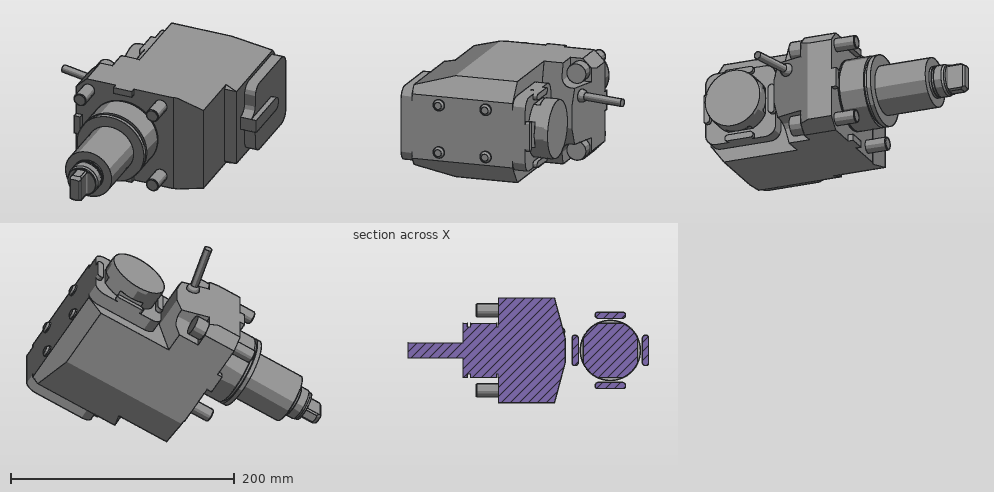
import cadquery as cq
import math

HALF_HEIGHT = 46.95
REAR_Y = 133.5

LEFT_X = -47.3
STEP_X = -7.5
BLOCK_RIGHT_X = 76.5
HEAD_RIGHT_X = 88.0
CAP_END_Y = 59.3
CAP_EDGE_Y = 49.5
CAP_FLAT_HALF = 10.5
LEAN_START_Y = 22.0
LEAN_ANGLE = 15.0
FRONT_CORNER_CUT = 10.2
REAR_CUT_Y = 12.7
REAR_CUT_Z = 17.06
TAPER_START_X = 50.8
TAPER_END_Z = 37.0
OVERHANG_Y = 47.3
OVERHANG_BEVEL = 3.2
PAD_THICKNESS = 0.7

BOLT_X = 35.25
BOLT_Z = 35.75
BOLT_DIAMETER = 12.0
BOLT_END_Y = -20.5
BOLT_CHAMFER = 0.7
BOLT_HEAD_DIAMETER = 18.0
BOLT_SEAT_Y = 30.0
BOLT_HEAD_END_Y = 41.5
POCKET_RADIUS = 9.7

KEY_LENGTH = 18.0
KEY_WIDTH = 6.0
KEY_END_Y = -5.5

BOSS_RADIUS = 32.5
GROOVE_RADIUS = 30.1
SHANK_RADIUS = 22.55
COLLAR_RADIUS = 14.5
NECK_RADIUS = 13.5
COLLAR_END_RADIUS = 13.5
RELIEF_START_Y = -1.0
RELIEF_END_Y = -2.2
BOSS_END_Y = -25.7
GROOVE_END_Y = -28.5
FLANGE_END_Y = -32.5
SHANK_END_Y = -81.5
RING_END_Y = -83.5
NECK_END_Y = -85.7
COLLAR_SIDE_END_Y = -93.2
COLLAR_BEVEL_END_Y = -95.2
COLLAR_END_Y = -97.0
TIP_Y = -112.3
TANG_THICKNESS = 10.5
TANG_FACE_HALF_HEIGHT = 11.0
TANG_EDGE_BEVEL = 1.5
TANG_ROOT_FILLET = 1.5
TANG_TIP_RADIUS = 10.5
TANG_TIP_TAPER = 5.2
TANG_SIDE_CHAMFER = 1.2
TANG_END_CHAMFER = 2.0

PLATE_SIDE = 68.3
PLATE_CORNER_RADIUS = 10.2
PLATE_Y = REAR_Y - PLATE_SIDE / 2
LEFT_PLATE_X = -19.5
NOSE_RADIUS = 27.03
NOSE_END_X = -37.9
NOSE_TAPER_X = -34.5
NOSE_END_RADIUS = 26.53
NOSE_NECK_X = -25.5
NOSE_NECK_WIDTH = 48.5
NOSE_KEY_X = -23.5
NOSE_KEY_LENGTH = 27.5
NOSE_KEY_WIDTH = 5.7
NOSE_KEY_INNER_RADIUS = 3.2
NOSE_KEY_OUTER_RADIUS = 2.2
PIN_HOLE_DIAMETER = 2.1
PIN_HOLE_DEPTH = 5.0
PIN_HOLE_X = -14.0
RIGHT_PLATE_X = 98.5
TONGUE_HALF_WIDTH = 6.2
TONGUE_END_Y = 56.0
TONGUE_FILLET = REAR_Y - PLATE_SIDE - TONGUE_END_Y
LEVER_X = 103.5

SCREW_XS = (18.0, 62.3)
SCREW_Z = 22.0
SCREW_DIAMETER = 10.5
SCREW_TOP_DIAMETER = 6.5
SCREW_HEIGHT = 3.2
SCREW_RIM = 1.2

CABLE_DIAMETER = 7.0
CABLE_SOCKET_RADIUS = 6.0
CABLE_Y = 45.0
CABLE_Z = 17.0
CABLE_LENGTH = 43.8
CABLE_TILT = 13.5


def block(x0, x1, y0, y1, z0, z1):
    return cq.Workplane("XY").box(x1 - x0, y1 - y0, z1 - z0, centered=False).translate((x0, y0, z0))


def rod_y(x, z, radius, y0, y1):
    """A round rod parallel to Y."""
    return cq.Workplane("XZ", origin=(x, y0, z)).circle(radius).extrude(y0 - y1)


def extrude_x(points, x0, x1):
    """A (Y, Z) outline extruded along X."""
    return cq.Workplane("YZ", origin=(x0, 0, 0)).polyline(points).close().extrude(x1 - x0)


def extrude_z(points):
    """An (X, Y) outline extruded over the whole height."""
    outline = cq.Workplane("XY", origin=(0, 0, -HALF_HEIGHT)).polyline(points).close()
    return outline.extrude(2 * HALF_HEIGHT)


def mirrored_profile(points):
    """The (Y, Z) points followed by their mirror images about Z = 0, in reverse order."""
    return points + [(y, -z) for y, z in reversed(points)]


def lean_x(y):
    """X of the leaning left face at a given Y."""
    return LEFT_X + (y - LEAN_START_Y) * math.tan(math.radians(LEAN_ANGLE))


def face_outline():
    """(X, Z) outline of the housing, seen along the spindle axis."""
    upper = [
        (LEFT_X, HALF_HEIGHT - FRONT_CORNER_CUT),
        (LEFT_X + FRONT_CORNER_CUT, HALF_HEIGHT),
        (TAPER_START_X, HALF_HEIGHT),
        (HEAD_RIGHT_X, TAPER_END_Z),
    ]
    return upper + [(x, -z) for x, z in reversed(upper)]


def along_y(y0, y1):
    return cq.Workplane("XZ", origin=(0, y0, 0)).polyline(face_outline()).close().extrude(y0 - y1)


def make_housing():
    left_part = extrude_z([
        (LEFT_X, 0),
        (LEFT_X, LEAN_START_Y),
        (lean_x(CAP_END_Y), CAP_END_Y),
        (STEP_X, CAP_END_Y),
        (STEP_X, 0),
    ])
    cap_end = mirrored_profile([
        (0, HALF_HEIGHT),
        (CAP_EDGE_Y, HALF_HEIGHT),
        (CAP_END_Y, CAP_FLAT_HALF),
    ])
    left_part = left_part.intersect(extrude_x(cap_end, LEFT_X, STEP_X))

    rear_edge = mirrored_profile([
        (0, HALF_HEIGHT),
        (REAR_Y - REAR_CUT_Y, HALF_HEIGHT),
        (REAR_Y, HALF_HEIGHT - REAR_CUT_Z),
    ])
    head = extrude_x(rear_edge, STEP_X, BLOCK_RIGHT_X)
    overhang_profile = mirrored_profile([
        (OVERHANG_Y, TAPER_END_Z),
        (OVERHANG_Y + OVERHANG_BEVEL, TAPER_END_Z + OVERHANG_BEVEL),
        (REAR_Y - REAR_CUT_Y, HALF_HEIGHT),
        (REAR_Y, HALF_HEIGHT - REAR_CUT_Z),
    ])
    overhang = extrude_x(overhang_profile, BLOCK_RIGHT_X, HEAD_RIGHT_X)
    housing = left_part.union(head).union(overhang).intersect(along_y(0, REAR_Y))

    pad = along_y(-PAD_THICKNESS, 0).intersect(
        block(LEFT_X, -LEFT_X, -PAD_THICKNESS, 0, -HALF_HEIGHT, HALF_HEIGHT)
    )
    return housing.union(pad)


def cut_head_pockets(housing):
    """Round-bottomed pockets for the left bolt heads, open to the left and outward along Z."""
    for side in (1, -1):
        z = side * BOLT_Z
        outer_z = side * HALF_HEIGHT
        inner_z = z - side * POCKET_RADIUS
        right_x = -BOLT_X + POCKET_RADIUS
        to_left = block(LEFT_X, -BOLT_X, BOLT_SEAT_Y, CAP_END_Y, min(inner_z, outer_z), max(inner_z, outer_z))
        outward = block(LEFT_X, right_x, BOLT_SEAT_Y, CAP_END_Y, min(z, outer_z), max(z, outer_z))
        bore = rod_y(-BOLT_X, z, POCKET_RADIUS, BOLT_SEAT_Y, CAP_END_Y)
        housing = housing.cut(to_left).cut(outward).cut(bore)
    return housing


def add_bolts(body):
    for z in (BOLT_Z, -BOLT_Z):
        for x in (BOLT_X, -BOLT_X):
            shank = rod_y(x, z, BOLT_DIAMETER / 2, BOLT_END_Y, BOLT_SEAT_Y)
            body = body.union(shank.faces("<Y").chamfer(BOLT_CHAMFER))
        body = body.union(rod_y(-BOLT_X, z, BOLT_HEAD_DIAMETER / 2, BOLT_SEAT_Y, BOLT_HEAD_END_Y))
    return body


def add_face_keys(body):
    half = KEY_LENGTH / 2
    inner_z = HALF_HEIGHT - KEY_WIDTH
    body = body.union(block(-half, half, KEY_END_Y, 0, inner_z, HALF_HEIGHT))
    body = body.union(block(-half, half, KEY_END_Y, 0, -HALF_HEIGHT, -inner_z))
    return body.union(block(LEFT_X, LEFT_X + KEY_WIDTH, KEY_END_Y, 0, -half, half))


def make_spindle():
    profile = [
        (0, 0),
        (BOSS_RADIUS, 0),
        (BOSS_RADIUS, RELIEF_START_Y),
        (GROOVE_RADIUS, RELIEF_START_Y),
        (GROOVE_RADIUS, RELIEF_END_Y),
        (BOSS_RADIUS, RELIEF_END_Y),
        (BOSS_RADIUS, BOSS_END_Y),
        (GROOVE_RADIUS, BOSS_END_Y),
        (GROOVE_RADIUS, GROOVE_END_Y),
        (BOSS_RADIUS, GROOVE_END_Y),
        (BOSS_RADIUS, FLANGE_END_Y),
        (SHANK_RADIUS, FLANGE_END_Y),
        (SHANK_RADIUS, SHANK_END_Y),
        (COLLAR_RADIUS, SHANK_END_Y),
        (COLLAR_RADIUS, RING_END_Y),
        (NECK_RADIUS, RING_END_Y),
        (NECK_RADIUS, NECK_END_Y),
        (COLLAR_RADIUS, NECK_END_Y),
        (COLLAR_RADIUS, COLLAR_SIDE_END_Y),
        (COLLAR_END_RADIUS, COLLAR_BEVEL_END_Y),
        (COLLAR_END_RADIUS, COLLAR_END_Y),
        (0, COLLAR_END_Y),
    ]
    spindle = cq.Workplane("XY").polyline(profile).close().revolve(360, (0, 0, 0), (0, 1, 0))

    tang_profile = [
        (0, COLLAR_END_Y),
        (COLLAR_END_RADIUS, COLLAR_END_Y),
        (COLLAR_END_RADIUS, TIP_Y + TANG_TIP_TAPER),
        (TANG_TIP_RADIUS, TIP_Y),
        (0, TIP_Y),
    ]
    tang_round = cq.Workplane("XY").polyline(tang_profile).close().revolve(360, (0, 0, 0), (0, 1, 0))
    half = TANG_THICKNESS / 2
    flats = extrude_z([
        (half, COLLAR_END_Y),
        (half, TIP_Y + TANG_END_CHAMFER),
        (half - TANG_SIDE_CHAMFER, TIP_Y),
        (TANG_SIDE_CHAMFER - half, TIP_Y),
        (-half, TIP_Y + TANG_END_CHAMFER),
        (-half, COLLAR_END_Y),
    ])
    section = cq.Workplane("XZ", origin=(0, COLLAR_END_Y, 0))
    section = section.rect(TANG_THICKNESS, 2 * (TANG_FACE_HALF_HEIGHT + TANG_EDGE_BEVEL))
    bevelled = section.extrude(COLLAR_END_Y - TIP_Y).edges("|Y").chamfer(TANG_EDGE_BEVEL)
    tang = tang_round.intersect(flats).intersect(bevelled)

    root_half = half + TANG_ROOT_FILLET
    root_y = COLLAR_END_Y - TANG_ROOT_FILLET
    mid = TANG_ROOT_FILLET * math.sqrt(0.5)
    root = (
        cq.Workplane("XY", origin=(0, 0, -TANG_FACE_HALF_HEIGHT))
        .moveTo(-root_half, COLLAR_END_Y)
        .lineTo(root_half, COLLAR_END_Y)
        .threePointArc((root_half - mid, root_y + mid), (half, root_y))
        .lineTo(-half, root_y)
        .threePointArc((mid - root_half, root_y + mid), (-root_half, COLLAR_END_Y))
        .close()
        .extrude(2 * TANG_FACE_HALF_HEIGHT)
    )
    return spindle.union(tang).union(root)


def side_plate(x0, x1):
    plate = cq.Workplane("YZ", origin=(x0, PLATE_Y, 0)).rect(PLATE_SIDE, PLATE_SIDE).extrude(x1 - x0)
    return plate.edges("|X").fillet(PLATE_CORNER_RADIUS)


def make_nose():
    """Left plate with its four keys and the round tool nose."""
    plate = side_plate(LEFT_PLATE_X, STEP_X)
    hole = cq.Workplane("XY", origin=(PIN_HOLE_X, PLATE_Y, PLATE_SIDE / 2 - PIN_HOLE_DEPTH))
    plate = plate.cut(hole.circle(PIN_HOLE_DIAMETER / 2).extrude(PIN_HOLE_DEPTH))

    key_start = PLATE_SIDE / 2 - NOSE_KEY_WIDTH
    key = block(
        NOSE_KEY_X, LEFT_PLATE_X,
        PLATE_Y - NOSE_KEY_LENGTH / 2, PLATE_Y + NOSE_KEY_LENGTH / 2,
        key_start, PLATE_SIDE / 2,
    )
    key = key.edges("|X and <Z").fillet(NOSE_KEY_INNER_RADIUS)
    key = key.edges("|X and >Z").fillet(NOSE_KEY_OUTER_RADIUS)
    for turn in range(4):
        plate = plate.union(key.rotate((0, PLATE_Y, 0), (1, PLATE_Y, 0), 90 * turn))

    half_profile = [
        (LEFT_PLATE_X, 0),
        (LEFT_PLATE_X, NOSE_RADIUS),
        (NOSE_TAPER_X, NOSE_RADIUS),
        (NOSE_END_X, NOSE_END_RADIUS),
        (NOSE_END_X, 0),
    ]
    nose = cq.Workplane("XY").polyline(half_profile).close().revolve(360, (0, 0, 0), (1, 0, 0))
    nose = nose.translate((0, PLATE_Y, 0))
    neck = cq.Workplane("YZ", origin=(NOSE_NECK_X, PLATE_Y, 0))
    around_neck = neck.rect(PLATE_SIDE, PLATE_SIDE).rect(NOSE_NECK_WIDTH, NOSE_NECK_WIDTH)
    nose = nose.cut(around_neck.extrude(LEFT_PLATE_X - NOSE_NECK_X))
    return plate.union(nose)


def make_right_plate():
    """Right plate with a filleted tongue and a round-ended lever over it."""
    thickness = RIGHT_PLATE_X - HEAD_RIGHT_X
    plate_end_y = PLATE_Y - PLATE_SIDE / 2
    fillet_z = TONGUE_HALF_WIDTH + TONGUE_FILLET
    mid = TONGUE_FILLET * math.sqrt(0.5)
    tongue = (
        cq.Workplane("YZ", origin=(HEAD_RIGHT_X, 0, 0))
        .moveTo(PLATE_Y, fillet_z)
        .lineTo(plate_end_y, fillet_z)
        .threePointArc((TONGUE_END_Y + mid, fillet_z - mid), (TONGUE_END_Y, TONGUE_HALF_WIDTH))
        .lineTo(TONGUE_END_Y, -TONGUE_HALF_WIDTH)
        .threePointArc((TONGUE_END_Y + mid, mid - fillet_z), (plate_end_y, -fillet_z))
        .lineTo(PLATE_Y, -fillet_z)
        .close()
        .extrude(thickness)
    )
    lever = (
        cq.Workplane("YZ", origin=(RIGHT_PLATE_X, 0, 0))
        .moveTo(TONGUE_END_Y, TONGUE_HALF_WIDTH)
        .lineTo(PLATE_Y, TONGUE_HALF_WIDTH)
        .threePointArc((PLATE_Y + TONGUE_HALF_WIDTH, 0), (PLATE_Y, -TONGUE_HALF_WIDTH))
        .lineTo(TONGUE_END_Y, -TONGUE_HALF_WIDTH)
        .close()
        .extrude(LEVER_X - RIGHT_PLATE_X)
    )
    return side_plate(HEAD_RIGHT_X, RIGHT_PLATE_X).union(tongue).union(lever)


def add_rear_screws(body):
    radius = SCREW_DIAMETER / 2
    profile = [
        (0, 0),
        (radius, 0),
        (radius, SCREW_RIM),
        (SCREW_TOP_DIAMETER / 2, SCREW_HEIGHT),
        (0, SCREW_HEIGHT),
    ]
    screw = cq.Workplane("XY").polyline(profile).close().revolve(360, (0, 0, 0), (0, 1, 0))
    for x in SCREW_XS:
        for z in (SCREW_Z, -SCREW_Z):
            body = body.union(screw.translate((x, REAR_Y, z)))
    return body


def make_cable():
    """Cable leaving the leaning left face, with a ball socket where it enters."""
    foot = cq.Vector(lean_x(CABLE_Y), CABLE_Y, CABLE_Z)
    tilt = math.radians(CABLE_TILT)
    direction = cq.Vector(-math.cos(tilt), math.sin(tilt), 0)
    cable = cq.Solid.makeCylinder(CABLE_DIAMETER / 2, CABLE_LENGTH, foot, direction)
    socket = cq.Workplane("XY").sphere(CABLE_SOCKET_RADIUS).translate(foot)
    return socket.union(cq.Workplane(cable))


result = cut_head_pockets(make_housing())
result = result.union(make_spindle())
result = add_face_keys(result)
result = add_bolts(result)
result = result.union(make_nose())
result = result.union(make_right_plate())
result = add_rear_screws(result)
result = result.union(make_cable())